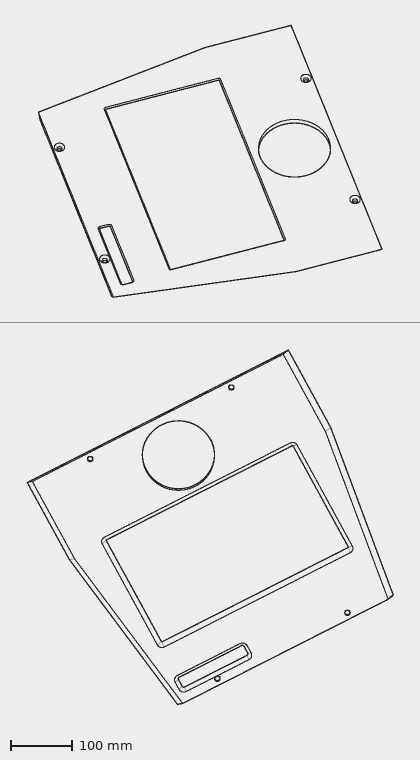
import cadquery as cq

width = 481.5
depth = 447.0
thickness = 10.0
front_width = 398.0
straight_length = 148.0
side_inset = 9.5
half_depth = depth / 2

round_diameter = 117.5
round_y = half_depth - 72.2

window_width = 348.5
window_depth = 199.5
window_y = -19.7
window_corner = 3.0
window_bevel = 2.5
window_flare = 7.5

slot_width = 125.0
slot_depth = 23.0
slot_x = 117.0
slot_y = -192.5
slot_corner = 5.0
slot_bevel = 2.5
slot_flare = 6.5

screw_diameter = 8.5
screw_head_diameter = 17.0
screw_head_angle = 90
screw_edge_gap = 10.5
rear_screw_spacing = 260.0
front_screw_spacing = 240.0


def outline(inset):
    """Plate outline with the left and right sides moved inward."""
    rear_x = width / 2 - inset
    front_x = front_width / 2 - inset
    knee_y = half_depth - straight_length
    return [
        (-front_x, -half_depth),
        (front_x, -half_depth),
        (rear_x, knee_y),
        (rear_x, half_depth),
        (-rear_x, half_depth),
        (-rear_x, knee_y),
    ]


def make_plate():
    """Plate whose left and right sides slope inward toward the underside."""
    return (
        cq.Workplane("XY")
        .polyline(outline(side_inset)).close()
        .workplane(offset=thickness)
        .polyline(outline(0)).close()
        .loft(ruled=True, combine=True)
    )


def rounded_rectangle(length, height, corner):
    """Sketch of a rectangle with rounded corners."""
    return cq.Sketch().rect(length, height).vertices().fillet(corner)


def bevelled_opening(x, y, length, height, corner, bevel, flare):
    """Cutter for a rounded rectangular opening with a sharp lip.

    The upper rim narrows downward at 45 degrees to the lip. Below the lip the
    opening widens by the flare on every side until it reaches the underside.
    """
    lip_z = thickness - bevel
    lip_length = length - 2 * bevel
    lip_height = height - 2 * bevel
    lip = rounded_rectangle(lip_length, lip_height, corner - bevel)
    rim = rounded_rectangle(length, height, corner)
    base = rounded_rectangle(lip_length + 2 * flare, lip_height + 2 * flare, corner - bevel + flare)
    lower = cq.Workplane("XY").placeSketch(base, lip.moved(cq.Location(cq.Vector(0, 0, lip_z)))).loft()
    upper = (
        cq.Workplane("XY").workplane(offset=lip_z)
        .placeSketch(lip, rim.moved(cq.Location(cq.Vector(0, 0, bevel))))
        .loft()
    )
    return lower.union(upper).translate((x, y, 0))


def add_screw_holes(plate):
    """Two countersunk holes along each of the rear and front edges."""
    screw_y = half_depth - screw_edge_gap
    points = []
    for spacing, y in ((rear_screw_spacing, screw_y), (front_screw_spacing, -screw_y)):
        for side in (-1, 1):
            points.append((side * spacing / 2, y))
    return (
        plate.faces(">Z").workplane(origin=(0, 0, thickness))
        .pushPoints(points)
        .cskHole(screw_diameter, screw_head_diameter, screw_head_angle)
    )


result = add_screw_holes(make_plate())
result = result.cut(
    cq.Workplane("XY").center(0, round_y).circle(round_diameter / 2).extrude(thickness)
)
result = result.cut(
    bevelled_opening(
        0, window_y, window_width, window_depth, window_corner, window_bevel, window_flare
    )
)
result = result.cut(
    bevelled_opening(slot_x, slot_y, slot_width, slot_depth, slot_corner, slot_bevel, slot_flare)
)